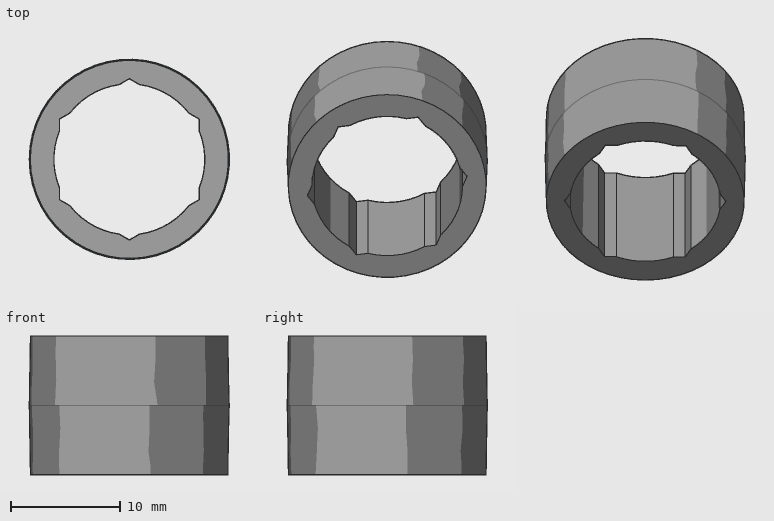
import cadquery as cq

height = 12.7
middle_radius = 9.15
end_radius = 9.04

bore_radius = 6.88
hex_corner_radius = 7.35
hex_sides = 6
corner_angle = 90

half_height = height / 2


def outer_body():
    """Solid of revolution about Z whose side is two shallow cones meeting at mid-height."""
    profile = (
        cq.Workplane("XZ")
        .moveTo(0, -half_height)
        .lineTo(-end_radius, -half_height)
        .lineTo(-middle_radius, 0)
        .lineTo(-end_radius, half_height)
        .lineTo(0, half_height)
        .close()
    )
    return profile.revolve(360, (0, 0, 0), (0, 1, 0))


def bore():
    """Through cutter: a cylinder joined with a hexagonal prism, two corners on the Y axis."""
    base = cq.Workplane("XY").workplane(offset=-half_height)
    cylinder = base.circle(bore_radius).extrude(height)
    hexagon = (
        base.polygon(hex_sides, 2 * hex_corner_radius)
        .extrude(height)
        .rotate((0, 0, 0), (0, 0, 1), corner_angle)
    )
    return cylinder.union(hexagon)


result = outer_body().cut(bore())